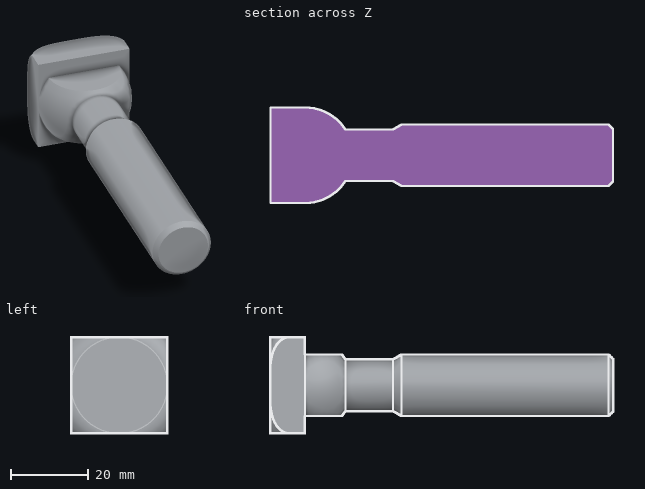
import cadquery as cq
import math

head_width = 25.0
head_thickness = 9.0
shank_length = 80.0
shank_diameter = 16.0
thread_length = 55.0
root_diameter = 13.546
runout_angle = 30.0

total_length = head_thickness + shank_length
thread_start = total_length - thread_length
ball_radius = head_width / 2
shank_radius = shank_diameter / 2
root_radius = root_diameter / 2
thread_depth = shank_radius - root_radius
runout_length = thread_depth / math.tan(math.radians(runout_angle))
neck_end = thread_start - runout_length

face_radius = head_width / 2
corner_radius = head_width / math.sqrt(2)
rounding_radius = corner_radius - face_radius


def box_from(x_start, length, width, height):
    """Box centred on the X axis, starting at x_start."""
    box = cq.Workplane("XY").box(length, width, height, centered=(False, True, True))
    return box.translate((x_start, 0, 0))


def turn_about_x(profile):
    """Full revolution of a closed XY profile about the X axis."""
    return profile.revolve(360, (0, 0, 0), (1, 0, 0))


def make_head():
    """Square plate whose outer corners are rounded by a surface turned about X."""
    plate = box_from(0, head_thickness, head_width, head_width)
    arc_middle = (
        rounding_radius * (1 - math.cos(math.pi / 4)),
        face_radius + rounding_radius * math.sin(math.pi / 4),
    )
    envelope_profile = (
        cq.Workplane("XY")
        .lineTo(0, face_radius)
        .threePointArc(arc_middle, (rounding_radius, corner_radius))
        .lineTo(head_thickness, corner_radius)
        .lineTo(head_thickness, 0)
        .close()
    )
    return plate.intersect(turn_about_x(envelope_profile))


def make_collar():
    """Half ball behind the head, flattened above and below to the shank diameter."""
    ball = cq.Workplane("XY").sphere(ball_radius).translate((head_thickness, 0, 0))
    slab = box_from(head_thickness, ball_radius, head_width, shank_diameter)
    return ball.intersect(slab)


def make_shank():
    """Reduced neck, conical run-out and threaded length with a chamfered tip."""
    shank_profile = (
        cq.Workplane("XY")
        .moveTo(head_thickness, 0)
        .lineTo(head_thickness, root_radius)
        .lineTo(neck_end, root_radius)
        .lineTo(thread_start, shank_radius)
        .lineTo(total_length - thread_depth, shank_radius)
        .lineTo(total_length, root_radius)
        .lineTo(total_length, 0)
        .close()
    )
    return turn_about_x(shank_profile)


result = make_head().union(make_collar()).union(make_shank())